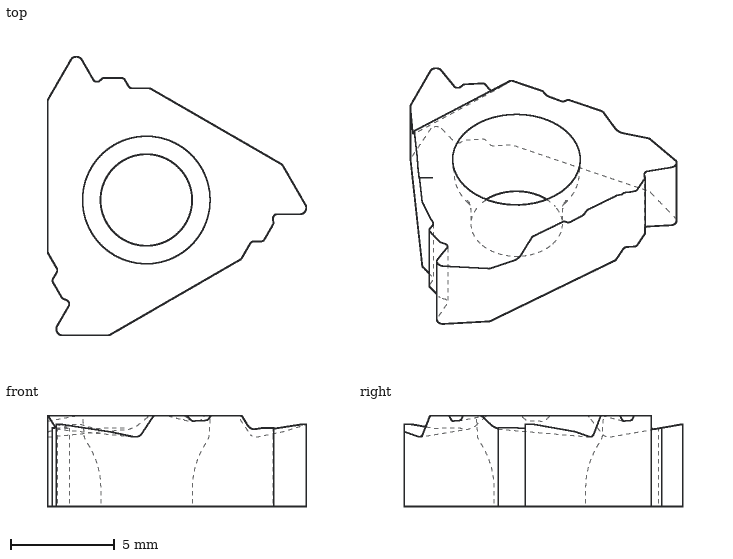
import cadquery as cq
import math

TEETH = 3
LENGTH_Y = 13.42
HEIGHT = 4.37
SIDE_DISTANCE = 4.75
SIDE_TURN = 30

FLANK_ANGLE = 60
CREST_Y = 6.9
CREST_WIDTH = 0.36
CREST_RADIUS = 0.28
VALLEY_Y = 5.7
VALLEY_END_X = -2.3
VALLEY_EXIT_ANGLE = 40
VALLEY_RADIUS = 0.15
NOSE_Y = 5.88
NOSE_END_X = -1.09
STEP_Y = 5.38
SIDE_BLEND_RADIUS = 0.24
STEP_RADIUS = 0.19

RAKE_ANGLE = 10
CREST_DROP = 0.4
WALL_DISTANCE = 4.5
WALL_DIRECTION = 122
WALL_ANGLE = 57
WALL_FOOT_RADIUS = 0.38
WALL_TOP_RADIUS = 0.13
CUT_REACH = 8.05

NOTCH_END_X = -3.46
NOTCH_END_Y = -0.54
NOTCH_SKEW = 13.8
NOTCH_FLOOR_SLOPE = 10.5
NOTCH_FLOOR_WIDTH = 0.83
NOTCH_WALL_ANGLE = 45
NOTCH_FLOOR_RADIUS = 0.23
NOTCH_RIM_RADIUS = 0.12
NOTCH_CUT_HEIGHT = 0.67
NOTCH_CUT_LENGTH = 2.68

BORE_RADIUS = 4.4 / 2
BOWL_RADIUS_TOP = 2.91
BOWL_TOP_DEPTH = 1.21
BOWL_BOTTOM_DEPTH = 3.52
MOUTH_RADIUS = 3.07
MOUTH_END_RADIUS = 3.0
MOUTH_DEPTH = 0.98


def rounded_outline(plane, corners):
    """Closed wire through (x, y, radius) corners; radius 0 keeps a corner sharp."""
    pieces = []
    for i, (x, y, radius) in enumerate(corners):
        corner = cq.Vector(x, y)
        before = (cq.Vector(*corners[i - 1][:2]) - corner).normalized()
        after = (cq.Vector(*corners[(i + 1) % len(corners)][:2]) - corner).normalized()
        half_angle = before.getAngle(after) / 2
        setback = radius / math.tan(half_angle)
        middle = (before + after).normalized() * (radius / math.sin(half_angle) - radius)
        pieces.append((corner + before * setback, corner + middle, corner + after * setback, radius))

    start = pieces[0][2]
    outline = cq.Workplane(plane).moveTo(start.x, start.y)
    for arc_start, arc_middle, arc_end, radius in pieces[1:] + pieces[:1]:
        outline = outline.lineTo(arc_start.x, arc_start.y)
        if radius > 0:
            outline = outline.threePointArc((arc_middle.x, arc_middle.y), (arc_end.x, arc_end.y))
    return outline.close()


def turned(x, y, degrees):
    """Point (x, y) turned about the centre axis."""
    a = math.radians(degrees)
    return x * math.cos(a) - y * math.sin(a), x * math.sin(a) + y * math.cos(a)


def repeated(shape):
    """One copy of the shape for each tooth."""
    copies = cq.Workplane(shape.val())
    for i in range(1, TEETH):
        copies = copies.add(shape.rotate((0, 0, 0), (0, 0, 1), i * 360 / TEETH).val())
    return copies.combine()


def tooth_corners():
    """Corners of one tooth, from its left side face to the next side face."""
    slope = math.tan(math.radians(FLANK_ANGLE))
    exit_slope = math.tan(math.radians(VALLEY_EXIT_ANGLE))
    flank_cos = math.cos(math.radians(FLANK_ANGLE))
    flank_sin = math.sin(math.radians(FLANK_ANGLE))
    outer_flank_distance = LENGTH_Y - CREST_Y
    crest_start_x = (CREST_Y * flank_cos - outer_flank_distance) / flank_sin
    crest_end_x = crest_start_x + CREST_WIDTH
    side_cos = math.cos(math.radians(SIDE_TURN))
    side_sin = math.sin(math.radians(SIDE_TURN))
    return [
        (-SIDE_DISTANCE, CREST_Y - slope * (crest_start_x + SIDE_DISTANCE), SIDE_BLEND_RADIUS),
        (crest_start_x, CREST_Y, CREST_RADIUS),
        (crest_end_x, CREST_Y, CREST_RADIUS),
        (crest_end_x + (CREST_Y - VALLEY_Y) / slope, VALLEY_Y, VALLEY_RADIUS),
        (VALLEY_END_X, VALLEY_Y, VALLEY_RADIUS),
        (VALLEY_END_X + (NOSE_Y - VALLEY_Y) / exit_slope, NOSE_Y, VALLEY_RADIUS),
        (NOSE_END_X, NOSE_Y, STEP_RADIUS),
        (NOSE_END_X + (NOSE_Y - STEP_Y) / slope, STEP_Y, STEP_RADIUS),
        ((SIDE_DISTANCE - STEP_Y * side_cos) / side_sin, STEP_Y, SIDE_BLEND_RADIUS),
    ]


def make_body():
    corners = []
    for i in range(TEETH):
        for x, y, radius in tooth_corners():
            corners.append((*turned(x, y, -i * 360 / TEETH), radius))
    return rounded_outline("XY", corners).extrude(HEIGHT)


def make_rake_cutter():
    """Material above the rake face and in front of the wall, with a rounded foot."""
    rake_slope = math.tan(math.radians(RAKE_ANGLE))
    wall_slope = math.tan(math.radians(WALL_ANGLE))
    facing_x, facing_y = turned(1, 0, WALL_DIRECTION)

    root_x = -SIDE_DISTANCE
    wall_lead = WALL_DISTANCE - facing_x * root_x
    root_y = (CREST_DROP + rake_slope * CREST_Y + wall_slope * wall_lead) / (
        rake_slope + wall_slope * facing_y
    )
    root_z = HEIGHT - CREST_DROP - rake_slope * (CREST_Y - root_y)

    rake_normal = cq.Vector(0, -rake_slope, 1).normalized()
    wall_normal = cq.Vector(facing_x * wall_slope, facing_y * wall_slope, 1).normalized()
    groove = wall_normal.cross(rake_normal).normalized()
    outward = rake_normal.cross(groove)
    plane = cq.Plane(origin=(root_x, root_y, root_z), xDir=outward, normal=groove)

    turn = rake_normal.getAngle(wall_normal)
    section = rounded_outline(plane, [
        (0, 0, WALL_FOOT_RADIUS),
        (CUT_REACH, 0, 0),
        (CUT_REACH, CUT_REACH, 0),
        (-CUT_REACH * math.cos(turn), CUT_REACH * math.sin(turn), 0),
    ])
    return section.extrude(CUT_REACH, both=True)


def make_notch_cutter():
    """Flared notch whose floor runs down and outward from its inner end."""
    skew_x, skew_y = turned(-1, 0, -NOTCH_SKEW)
    drop = math.tan(math.radians(NOTCH_FLOOR_SLOPE))
    outward = cq.Vector(skew_x, skew_y, -drop)
    across = cq.Vector(-skew_y, skew_x, 0)
    plane = cq.Plane(origin=(NOTCH_END_X, NOTCH_END_Y, HEIGHT), xDir=across, normal=outward)
    half_floor = NOTCH_FLOOR_WIDTH / 2
    half_mouth = half_floor + NOTCH_CUT_HEIGHT / math.tan(math.radians(NOTCH_WALL_ANGLE))
    section = rounded_outline(plane, [
        (-half_floor, 0, NOTCH_FLOOR_RADIUS),
        (half_floor, 0, NOTCH_FLOOR_RADIUS),
        (half_mouth, NOTCH_CUT_HEIGHT, 0),
        (-half_mouth, NOTCH_CUT_HEIGHT, 0),
    ])
    return section.extrude(NOTCH_CUT_LENGTH, both=True)


def make_hole():
    """Revolved screw hole; the bowl turns vertical where it joins the bore."""
    bowl_bottom = HEIGHT - BOWL_BOTTOM_DEPTH
    bowl_top = HEIGHT - BOWL_TOP_DEPTH
    return (
        cq.Workplane("XZ")
        .lineTo(BORE_RADIUS, 0)
        .lineTo(BORE_RADIUS, bowl_bottom)
        .tangentArcPoint((BOWL_RADIUS_TOP, bowl_top), relative=False)
        .tangentArcPoint((MOUTH_END_RADIUS, HEIGHT - MOUTH_DEPTH), relative=False)
        .lineTo(MOUTH_RADIUS, HEIGHT)
        .lineTo(0, HEIGHT)
        .close()
        .revolve(360, (0, 0, 0), (0, 1, 0))
    )


def round_top_edges(body, x, y, radius):
    """Round the top edge chain centred nearest (x, y), and its copy at every tooth."""
    for i in range(TEETH):
        place = (*turned(x, y, i * 360 / TEETH), HEIGHT)
        body = body.edges(cq.selectors.NearestToPointSelector(place)).fillet(radius)
    return body


body = make_body().cut(repeated(make_rake_cutter()))
body = round_top_edges(body, *turned(WALL_DISTANCE, 0, WALL_DIRECTION), WALL_TOP_RADIUS)
body = body.cut(repeated(make_notch_cutter()))
body = round_top_edges(body, NOTCH_END_X, NOTCH_END_Y, NOTCH_RIM_RADIUS)
result = body.cut(make_hole())